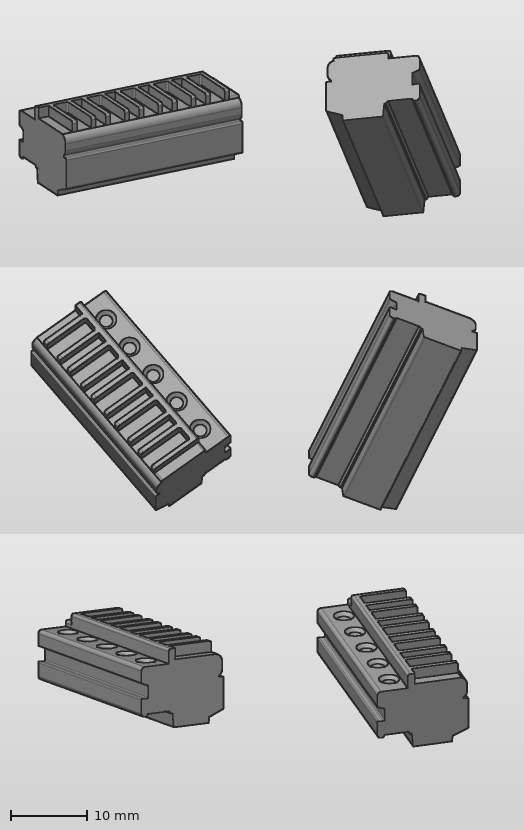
import cadquery as cq
import math

WIDTH = 12.5
LENGTH = 26.5
HEIGHT = 10.6

POLES = 5
PITCH = 5.0
FIRST_SCREW_Y = 3.35

SHELF_Z = 8.6
SHELF_END_X = 4.15
SHELF_ROUND = 0.5

GROOVE_X = 1.0
GROOVE_TOP_Z = 6.05
GROOVE_BOTTOM_Z = 4.3
GROOVE_RISE = 0.4
GROOVE_DROP = 0.1
GROOVE_ROUND = 0.15

UNDERSIDE_Z = 2.25
BEAD_Z = 1.9
BEAD_FLAT_END_X = 0.75
BEAD_ROUND = 0.5
BEAD_RAMP = 0.3
UNDERSIDE_END_X = 4.2

KEEL_TOP_LEFT_X = 4.72
KEEL_LEFT_X = 4.9
KEEL_RIGHT_X = 10.23
KEEL_TOP_RIGHT_X = 10.33
KEEL_RIGHT_Z = 0.8
KEEL_ROUND = 0.12

SIDE_BOTTOM_Z = 1.65
SIDE_BOTTOM_ROUND = 0.3
SIDE_TOP_Z = 6.0
SIDE_TOP_ROUND = 0.2

NECK_X = 11.68
NECK_ROUND = 0.1
NOSE_X = 12.3
NOSE_BOTTOM_Z = 6.63
NOSE_TOP_Z = 9.1
NOSE_BOTTOM_ROUND = 1.0
NOSE_TOP_ROUND = 1.1

COMB_END_X = 11.52
COMB_ROUND = 0.35
SPINE_END_X = 5.15
RIB_FLOOR_Z = NOSE_TOP_Z
WIDE_SLOT = 2.15
WIDE_SLOT_ROUND = 0.25
NARROW_SLOT = 1.5
FIRST_WIDE_SLOT_Y = 3.27

LEDGE_LENGTH = 1.5
LEDGE_Z = 9.45
LEDGE_END_ROUND = 0.25

SCREW_X = 2.65
SCREW_TOP_DIAMETER = 2.7
SCREW_FLOOR_DIAMETER = 1.7
SCREW_DEPTH = 0.5


def rounded_prism(corners, y_start, length):
    """Extrude an XZ outline along +Y; each corner is (x, z, corner radius)."""
    path = []
    for i, (x, z, radius) in enumerate(corners):
        corner = cq.Vector(x, z, 0)
        previous_x, previous_z, _ = corners[i - 1]
        next_x, next_z, _ = corners[(i + 1) % len(corners)]
        to_previous = (cq.Vector(previous_x, previous_z, 0) - corner).normalized()
        to_next = (cq.Vector(next_x, next_z, 0) - corner).normalized()
        half_angle = to_previous.getAngle(to_next) / 2
        setback = radius / math.tan(half_angle)
        to_arc = radius / math.sin(half_angle) - radius
        bisector = (to_previous + to_next).normalized()
        arc_start = corner + to_previous * setback
        arc_middle = corner + bisector * to_arc
        arc_end = corner + to_next * setback
        path.append([(point.x, point.y) for point in (arc_start, arc_middle, arc_end)])

    outline = cq.Workplane("XZ", origin=(0, y_start, 0)).moveTo(*path[-1][2])
    for arc_start, arc_middle, arc_end in path:
        outline = outline.lineTo(*arc_start)
        if math.dist(arc_start, arc_end) > 0:
            outline = outline.threePointArc(arc_middle, arc_end)
    return outline.close().extrude(-length)


def make_body():
    """Full-length body: shelf, latch groove, keel, nose and everything below the ribs."""
    corners = [
        (SHELF_END_X, SHELF_Z, 0),
        (0, SHELF_Z, SHELF_ROUND),
        (0, GROOVE_TOP_Z + GROOVE_RISE, GROOVE_ROUND),
        (GROOVE_X, GROOVE_TOP_Z, GROOVE_ROUND),
        (GROOVE_X, GROOVE_BOTTOM_Z, GROOVE_ROUND),
        (0, GROOVE_BOTTOM_Z + GROOVE_DROP, GROOVE_ROUND),
        (0, BEAD_Z, BEAD_ROUND),
        (BEAD_FLAT_END_X, BEAD_Z, 0),
        (BEAD_FLAT_END_X + BEAD_RAMP, UNDERSIDE_Z, 0),
        (UNDERSIDE_END_X, UNDERSIDE_Z, 0),
        (UNDERSIDE_END_X + BEAD_RAMP, BEAD_Z, 0),
        (KEEL_TOP_LEFT_X, BEAD_Z, 0),
        (KEEL_LEFT_X, 0, KEEL_ROUND),
        (KEEL_RIGHT_X, 0, 0),
        (KEEL_TOP_RIGHT_X, KEEL_RIGHT_Z, 0),
        (WIDTH, SIDE_BOTTOM_Z, SIDE_BOTTOM_ROUND),
        (WIDTH, SIDE_TOP_Z, SIDE_TOP_ROUND),
        (NECK_X, SIDE_TOP_Z, NECK_ROUND),
        (NOSE_X, NOSE_BOTTOM_Z, NOSE_BOTTOM_ROUND),
        (NOSE_X, NOSE_TOP_Z, NOSE_TOP_ROUND),
        (SHELF_END_X, NOSE_TOP_Z, 0),
    ]
    return rounded_prism(corners, 0, LENGTH)


def make_step(y_start, length, top_z, left_round, right_round):
    """Raised block above the shelf with both upper edges rounded."""
    corners = [
        (SHELF_END_X, SHELF_Z, 0),
        (COMB_END_X, SHELF_Z, 0),
        (COMB_END_X, top_z, right_round),
        (SHELF_END_X, top_z, left_round),
    ]
    return rounded_prism(corners, y_start, length)


def make_slot(y_center, width):
    """Cutter for a slot that runs from the spine out through the +X side of the comb."""
    length = COMB_END_X - SPINE_END_X
    depth = HEIGHT - RIB_FLOOR_Z
    slot_end = cq.Workplane("XY", origin=(SPINE_END_X, y_center, RIB_FLOOR_Z))
    return slot_end.box(length, width, depth, centered=(False, True, False))


def make_screw_opening(y_center):
    """Cutter for a shallow cone with a flat floor."""
    section = [
        (0, 0),
        (-SCREW_TOP_DIAMETER / 2, 0),
        (-SCREW_FLOOR_DIAMETER / 2, -SCREW_DEPTH),
        (0, -SCREW_DEPTH),
    ]
    half_section = cq.Workplane("YZ", origin=(SCREW_X, y_center, SHELF_Z)).polyline(section).close()
    return half_section.revolve(360, (0, 0), (0, 1))


comb_length = LENGTH - LEDGE_LENGTH
comb = make_step(0, comb_length, HEIGHT, COMB_ROUND, COMB_ROUND)
ledge = make_step(comb_length, LEDGE_LENGTH, LEDGE_Z, COMB_ROUND, LEDGE_END_ROUND)

for pole in range(POLES):
    narrow_slot = make_slot(pole * PITCH + NARROW_SLOT / 2, NARROW_SLOT)
    wide_slot = make_slot(FIRST_WIDE_SLOT_Y + pole * PITCH, WIDE_SLOT)
    wide_slot = wide_slot.edges("|Z and <X").fillet(WIDE_SLOT_ROUND)
    comb = comb.cut(narrow_slot).cut(wide_slot)

result = make_body().union(comb).union(ledge)
for pole in range(POLES):
    result = result.cut(make_screw_opening(FIRST_SCREW_Y + pole * PITCH))